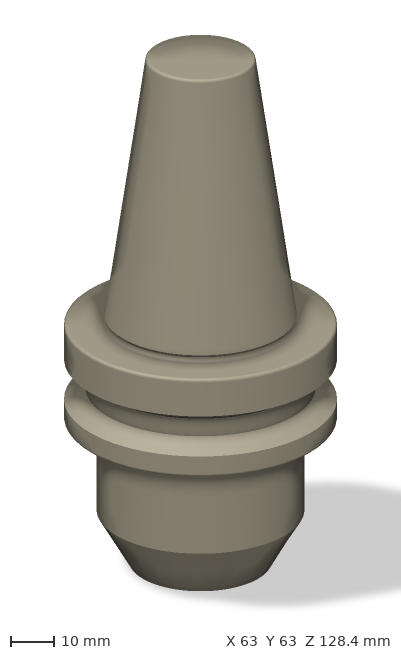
import cadquery as cq
import math

total_height = 128.4
gauge_z = 62.8
flange_top_z = 61.0
flange_bottom_z = 36.1
nose_cone_z = 13.1

taper_ratio = 7 / 24
gauge_radius = 22.2
shank_round = 0.8
shank_end_radius = gauge_radius - (total_height - gauge_z) * taper_ratio / 2

relief_radius = 21.6
relief_fillet = 1.0

flange_radius = 31.52
flange_round = 0.8
groove_radius = 26.6
groove_center_z = 46.5
groove_floor_width = 4.5
groove_side_angle = 30.0

body_radius = 24.0
body_fillet = 2.0
nose_angle = 30.0
nose_radius = body_radius - nose_cone_z * math.tan(math.radians(nose_angle))

groove_side_height = (flange_radius - groove_radius) * math.tan(math.radians(groove_side_angle))
floor_bottom_z = groove_center_z - groove_floor_width / 2
floor_top_z = groove_center_z + groove_floor_width / 2


def fillet_midpoint(radius, corner_r, corner_z, z_direction):
    """Midpoint of a concave corner fillet between a cylinder and a flange face."""
    inset = radius * (1 - math.sqrt(0.5))
    return corner_r + inset, corner_z + z_direction * inset


profile = (
    cq.Workplane("XZ")
    .lineTo(nose_radius, 0)
    .lineTo(body_radius, nose_cone_z)
    .lineTo(body_radius, flange_bottom_z - body_fillet)
    .threePointArc(
        fillet_midpoint(body_fillet, body_radius, flange_bottom_z, -1),
        (body_radius + body_fillet, flange_bottom_z),
    )
    .lineTo(flange_radius, flange_bottom_z)
    .lineTo(flange_radius, floor_bottom_z - groove_side_height)
    .lineTo(groove_radius, floor_bottom_z)
    .lineTo(groove_radius, floor_top_z)
    .lineTo(flange_radius, floor_top_z + groove_side_height)
    .lineTo(flange_radius, flange_top_z)
    .lineTo(relief_radius + relief_fillet, flange_top_z)
    .threePointArc(
        fillet_midpoint(relief_fillet, relief_radius, flange_top_z, 1),
        (relief_radius, flange_top_z + relief_fillet),
    )
    .lineTo(gauge_radius, gauge_z)
    .lineTo(shank_end_radius, total_height)
    .lineTo(0, total_height)
    .close()
)

tool_holder = profile.revolve(360, (0, 0, 0), (0, 1, 0))


def round_rim(solid, radius, z, size):
    """Round the circular edge of the given radius and height."""
    margin = 0.01
    reach = radius + margin
    rim_box = cq.selectors.BoxSelector((-reach, -reach, z - margin), (reach, reach, z + margin), True)
    rim = solid.edges(rim_box).edges(cq.selectors.RadiusNthSelector(-1))
    return rim.fillet(size)


tool_holder = round_rim(tool_holder, flange_radius, flange_bottom_z, flange_round)
tool_holder = round_rim(tool_holder, flange_radius, flange_top_z, flange_round)
result = round_rim(tool_holder, shank_end_radius, total_height, shank_round)